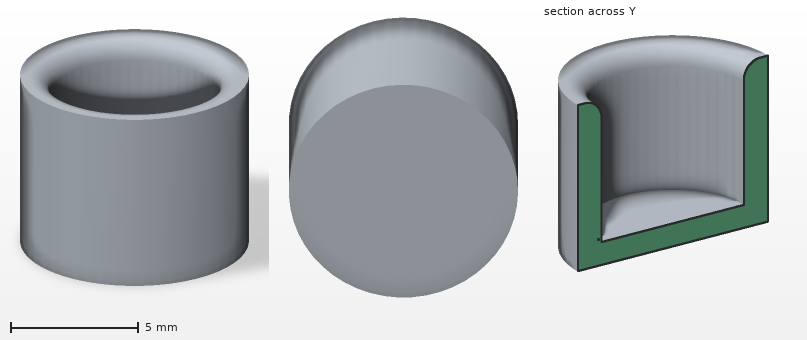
import cadquery as cq

outer_diameter = 9.0
height = 7.1
bore_diameter = 6.7
mouth_radius = 0.8
floor_thickness = 1.0

body = cq.Workplane("XY").circle(outer_diameter / 2).extrude(height)

bore_depth = height - floor_thickness
cup = body.faces(">Z").workplane().hole(bore_diameter, bore_depth)

mouth_edge = cq.selectors.RadiusNthSelector(0)
result = cup.faces(">Z").edges(mouth_edge).fillet(mouth_radius)